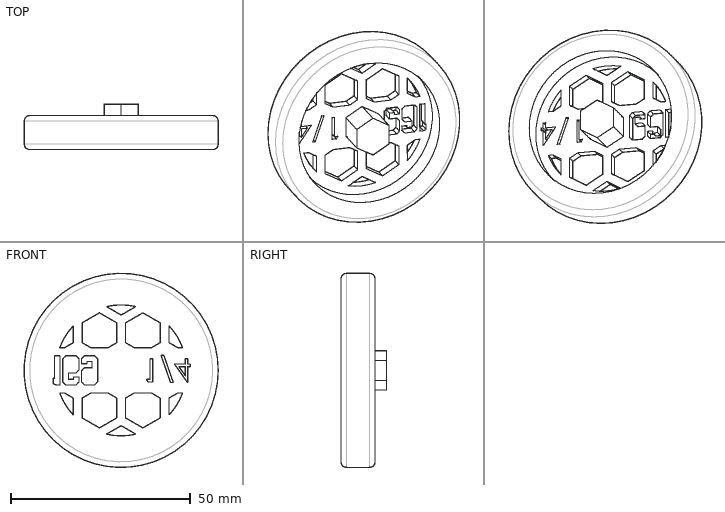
import cadquery as cq
import math

INCH = 25.4

WHEEL_RADIUS = 2.125 * INCH / 2
WHEEL_WIDTH = 0.375 * INCH
EDGE_FILLET = INCH / 16
WEB_THICKNESS = INCH / 8
RECESS_RADIUS = 1.625 * INCH / 2

STUD_FLATS = 0.375 * INCH
STUD_END = 0.5 * INCH

CELL_FLATS = 0.375 * INCH
CELL_WALL = 0.1 * INCH
CELL_PITCH = CELL_FLATS + CELL_WALL
ROW_PITCH = CELL_PITCH * math.sqrt(3) / 2
WINDOW_LIMIT_RADIUS = 18.15
BAND_HALF_HEIGHT = 0.25 * INCH

BIG_HALF_HEIGHT = 4.0
BIG_STROKE = 1.5
BIG_WIDTH = 4.45
BIG_CHAMFER = 0.8
BIG_BOWL_EDGE = -0.7
BIG_HOOK_TOP = -1.88
SIX_CENTRE_X = -13.96
NINE_CENTRE_X = -8.78
BIG_ONE_RIGHT = -17.0
BIG_ONE_FOOT_REACH = 0.3
BIG_ONE_FOOT_TOP = -2.22
BIG_ONE_FOOT_BEVEL_RUN = 0.75
BIG_ONE_FOOT_BEVEL_RISE = 0.3

SMALL_STROKE = 0.67
SMALL_HALF_HEIGHT = 3.2
SMALL_ONE_RIGHT = 8.73
SMALL_ONE_FOOT_REACH = 1.0
SMALL_ONE_FOOT_BEVEL = 0.45
SLASH_TOP_LEFT = 11.12
SLASH_RUN = 2.62
SLASH_TOP = 4.15
SLASH_BOTTOM = -3.35
SLASH_WIDTH = 0.71
FOUR_STEM_RIGHT = 18.47
FOUR_BAR_LEFT = 14.86
FOUR_BAR_RIGHT = 19.16
FOUR_BAR_TOP = 1.72
FOUR_TIP = -3.4


def front_plane(y):
    """XZ sketch plane at the given y; extrusions run toward +Y."""
    return cq.Workplane(cq.Plane(origin=(0, y, 0), xDir=(1, 0, 0), normal=(0, -1, 0)))


def disc(radius, y_start, y_end):
    return front_plane(y_start).circle(radius).extrude(y_start - y_end)


def prism(points, y_start, y_end):
    return front_plane(y_start).polyline(points).close().extrude(y_start - y_end)


def hexagon(flats, centre_x=0.0, centre_z=0.0):
    """Corners of a hexagon with two corners on its vertical centre line."""
    corner_radius = flats / math.sqrt(3)
    corners = []
    for i in range(6):
        angle = math.radians(30 + 60 * i)
        x = centre_x + corner_radius * math.cos(angle)
        z = centre_z + corner_radius * math.sin(angle)
        corners.append((x, z))
    return corners


def honeycomb_windows():
    """Hexagonal cells, cut off at a limiting circle and at the middle band."""
    cells = cq.Workplane()
    for row in (-2, -1, 1, 2):
        shift = CELL_PITCH / 2 if row % 2 else 0
        for column in range(-2, 2):
            cell_x = column * CELL_PITCH + shift
            corners = hexagon(CELL_FLATS, cell_x, row * ROW_PITCH)
            cells = cells.add(prism(corners, 0, WEB_THICKNESS))
    cells = cells.combine()
    band = cq.Workplane().box(2 * WHEEL_RADIUS, 2 * WHEEL_WIDTH, 2 * BAND_HALF_HEIGHT)
    return cells.intersect(disc(WINDOW_LIMIT_RADIUS, 0, WEB_THICKNESS)).cut(band)


def six_outline(centre_x, turn):
    """Bowl on top and open hook below; turn = -1 rotates the figure by half a turn."""
    half = BIG_WIDTH / 2
    notch_left = -half + BIG_STROKE
    notch_bottom = -BIG_HALF_HEIGHT + BIG_STROKE
    points = [
        (-half, BIG_HALF_HEIGHT - BIG_CHAMFER),
        (-half + BIG_CHAMFER, BIG_HALF_HEIGHT),
        (half - BIG_CHAMFER, BIG_HALF_HEIGHT),
        (half, BIG_HALF_HEIGHT - BIG_CHAMFER),
        (half, BIG_BOWL_EDGE + BIG_CHAMFER),
        (half - BIG_CHAMFER, BIG_BOWL_EDGE),
        (notch_left, BIG_BOWL_EDGE),
        (notch_left, notch_bottom),
        (half - BIG_STROKE, notch_bottom),
        (half - BIG_STROKE, BIG_HOOK_TOP),
        (half, BIG_HOOK_TOP),
        (half, -BIG_HALF_HEIGHT + BIG_CHAMFER),
        (half - BIG_CHAMFER, -BIG_HALF_HEIGHT),
        (-half + BIG_CHAMFER, -BIG_HALF_HEIGHT),
        (-half, -BIG_HALF_HEIGHT + BIG_CHAMFER),
    ]
    return [(centre_x + turn * x, turn * z) for x, z in points]


def big_one_outline():
    stem_left = BIG_ONE_RIGHT - BIG_STROKE
    foot_left = stem_left - BIG_ONE_FOOT_REACH
    return [
        (BIG_ONE_RIGHT, BIG_HALF_HEIGHT),
        (stem_left, BIG_HALF_HEIGHT),
        (stem_left, BIG_ONE_FOOT_TOP),
        (foot_left, BIG_ONE_FOOT_TOP),
        (foot_left, -BIG_HALF_HEIGHT + BIG_ONE_FOOT_BEVEL_RISE),
        (foot_left + BIG_ONE_FOOT_BEVEL_RUN, -BIG_HALF_HEIGHT),
        (BIG_ONE_RIGHT, -BIG_HALF_HEIGHT),
    ]


def small_one_outline():
    stem_left = SMALL_ONE_RIGHT - SMALL_STROKE
    foot_left = stem_left - SMALL_ONE_FOOT_REACH
    foot_top = -SMALL_HALF_HEIGHT + SMALL_STROKE
    return [
        (SMALL_ONE_RIGHT, SMALL_HALF_HEIGHT),
        (stem_left, SMALL_HALF_HEIGHT),
        (stem_left, foot_top),
        (foot_left, foot_top),
        (foot_left + SMALL_ONE_FOOT_BEVEL, -SMALL_HALF_HEIGHT),
        (SMALL_ONE_RIGHT, -SMALL_HALF_HEIGHT),
    ]


def slash_outline():
    bottom_left = SLASH_TOP_LEFT + SLASH_RUN
    return [
        (SLASH_TOP_LEFT, SLASH_TOP),
        (SLASH_TOP_LEFT + SLASH_WIDTH, SLASH_TOP),
        (bottom_left + SLASH_WIDTH, SLASH_BOTTOM),
        (bottom_left, SLASH_BOTTOM),
    ]


def four_outline():
    """Outer outline of the four, without its enclosed triangle."""
    stem_left = FOUR_STEM_RIGHT - SMALL_STROKE
    bar_bottom = FOUR_BAR_TOP - SMALL_STROKE
    return [
        (FOUR_BAR_LEFT, FOUR_BAR_TOP),
        (stem_left, FOUR_BAR_TOP),
        (stem_left, SMALL_HALF_HEIGHT),
        (FOUR_STEM_RIGHT, SMALL_HALF_HEIGHT),
        (FOUR_STEM_RIGHT, FOUR_BAR_TOP),
        (FOUR_BAR_RIGHT, FOUR_BAR_TOP),
        (FOUR_BAR_RIGHT, bar_bottom),
        (FOUR_STEM_RIGHT, bar_bottom),
        (FOUR_STEM_RIGHT, FOUR_TIP),
    ]


def four_triangle():
    """Triangle enclosed by the four; its long side is parallel to the outer diagonal."""
    slope = (FOUR_BAR_TOP - FOUR_TIP) / (FOUR_STEM_RIGHT - FOUR_BAR_LEFT)
    right = FOUR_STEM_RIGHT - SMALL_STROKE
    top = FOUR_BAR_TOP - SMALL_STROKE
    left = FOUR_BAR_LEFT + SMALL_STROKE / slope + SMALL_STROKE
    return [(left, top), (right, top), (right, top - slope * (right - left))]


def make_wheel():
    wheel = disc(WHEEL_RADIUS, 0, WHEEL_WIDTH).edges().fillet(EDGE_FILLET)
    wheel = wheel.cut(disc(RECESS_RADIUS, WEB_THICKNESS, WHEEL_WIDTH))
    wheel = wheel.union(prism(hexagon(STUD_FLATS), WEB_THICKNESS, STUD_END))
    wheel = wheel.cut(honeycomb_windows())
    figures = [
        big_one_outline(),
        six_outline(SIX_CENTRE_X, 1),
        six_outline(NINE_CENTRE_X, -1),
        small_one_outline(),
        slash_outline(),
        four_outline(),
    ]
    for outline in figures:
        wheel = wheel.cut(prism(outline, 0, WEB_THICKNESS))
    return wheel


def make_four_island():
    """Loose piece of the web left standing inside the cut-out four."""
    return prism(four_triangle(), 0, WEB_THICKNESS)


wheel = make_wheel()
four_island = make_four_island()

result = cq.Compound.makeCompound([*wheel.solids().vals(), four_island.val()])